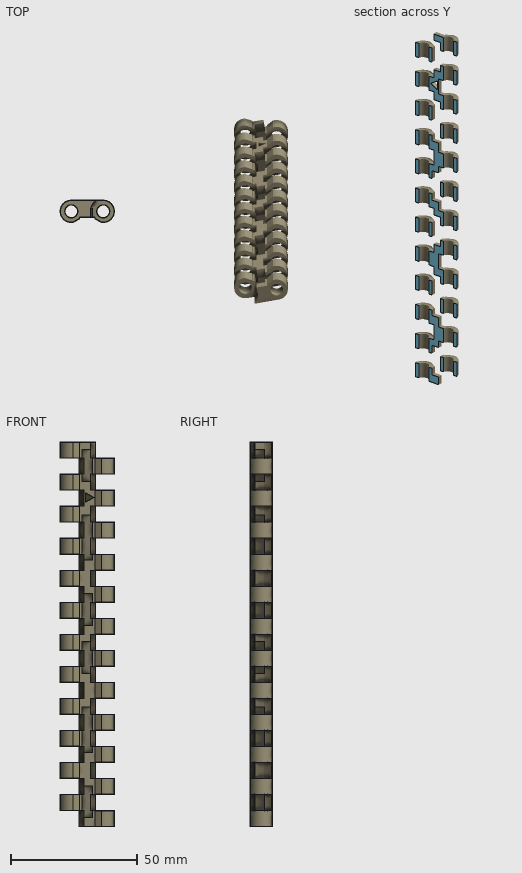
import cadquery as cq
import math

length = 152.4
slot_count = 24
slot_height = length / slot_count

overall_width = 21.5
knuckle_radius = 4.4
axis_offset = overall_width / 2 - knuckle_radius
pin_hole_diameter = 5.0
web_bottom = -2.5
flat_edge_y = -2.9
web_end = 1.4
relief_end = 1.2
relief_tip = 3.4
flat_tilt = math.radians(29)

pocket_floor = relief_end
pocket_wall_x = 2.1
pocket_spans = [(2.9, 15.5), (28.8, 46.8), (60.0, 72.7)]

arrow_base_x = -0.6
arrow_tip_x = 2.6
arrow_height = 3.7
arrow_depth = pocket_floor - web_bottom
arrow_z = length - 22.0

relief_radius = math.hypot(axis_offset - web_end, relief_end)
relief_tip_y = math.sqrt(relief_radius**2 - (axis_offset - relief_tip)**2)
relief_mid_angle = (math.asin(relief_tip_y / relief_radius) + math.asin(relief_end / relief_radius)) / 2

flat_edge_angle = math.acos(-flat_edge_y / knuckle_radius)
flat_start_angle = 2 * flat_tilt - flat_edge_angle


def on_knuckle(angle):
    """Point on the left knuckle circle at an angle from -Y towards +X."""
    return (
        -axis_offset + knuckle_radius * math.sin(angle),
        -knuckle_radius * math.cos(angle),
    )


def left_knuckle(z_bottom):
    """One knuckle around the left pin axis, with its web and pin hole."""
    relief_mid = (
        axis_offset - relief_radius * math.cos(relief_mid_angle),
        relief_radius * math.sin(relief_mid_angle),
    )
    flat_edge = on_knuckle(flat_edge_angle)
    body = (
        cq.Workplane("XY", origin=(0, 0, z_bottom))
        .moveTo(-axis_offset, knuckle_radius)
        .lineTo(relief_tip, knuckle_radius)
        .lineTo(relief_tip, relief_tip_y)
        .threePointArc(relief_mid, (web_end, relief_end))
        .lineTo(web_end, web_bottom)
        .lineTo(flat_edge[0], web_bottom)
        .lineTo(*flat_edge)
        .lineTo(*on_knuckle(flat_start_angle))
        .threePointArc((-overall_width / 2, 0), (-axis_offset, knuckle_radius))
        .close()
        .extrude(slot_height)
    )
    pin_hole = (
        cq.Workplane("XY", origin=(-axis_offset, 0, z_bottom))
        .circle(pin_hole_diameter / 2)
        .extrude(slot_height)
    )
    return body.cut(pin_hole)


def left_pocket(z_bottom, z_top):
    """Volume removed from a left knuckle's web, open at the outer face and the web end."""
    return cq.Workplane("XY").box(
        pocket_wall_x + axis_offset,
        pocket_floor + knuckle_radius,
        z_top - z_bottom,
        centered=False,
    ).translate((-pocket_wall_x, -knuckle_radius, z_bottom))


def arrow_recess():
    """Triangular volume removed from the web, pointing towards +X."""
    return (
        cq.Workplane("XZ", origin=(0, web_bottom, 0))
        .polyline([
            (arrow_base_x, arrow_z - arrow_height / 2),
            (arrow_base_x, arrow_z + arrow_height / 2),
            (arrow_tip_x, arrow_z),
        ])
        .close()
        .extrude(-arrow_depth)
    )


pocket_ranges = [
    (length - half_start - end, length - half_start - start)
    for half_start in (0, length / 2)
    for start, end in pocket_spans
]

result = cq.Workplane("XY")
for slot in range(slot_count):
    slot_top = length - slot * slot_height
    slot_bottom = slot_top - slot_height
    section = left_knuckle(slot_bottom)
    for pocket_bottom, pocket_top in pocket_ranges:
        low = max(pocket_bottom, slot_bottom)
        high = min(pocket_top, slot_top)
        if low < high:
            section = section.cut(left_pocket(low, high))
    if slot % 2 == 1:
        section = section.mirror("YZ")
    result = result.union(section)

result = result.cut(arrow_recess())